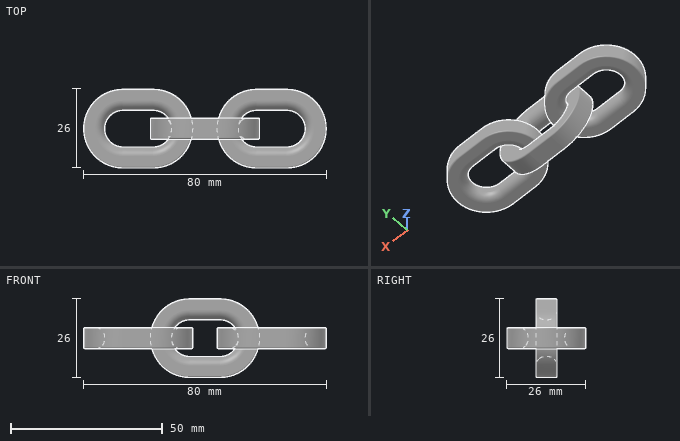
import math

import cadquery as cq

chain_length = 80.0
link_count = 3

link_length = 36.0
link_width = 26.0
slot_width = 12.0
bar_size = (link_width - slot_width) / 2
half_bar = bar_size / 2
straight_length = link_length - link_width
end_radius = (link_width - bar_size) / 2

outer_edge_radius = 0.5
inner_edge_radius = 3.0
inner_crown_radius = 4.5

link_pitch = (chain_length - link_length) / (link_count - 1)


def bar_section():
    """Bar cross-section at the start of the centreline; local +x faces the slot, local y is thickness."""
    crown_center = half_bar - inner_crown_radius
    center_gap = inner_crown_radius - inner_edge_radius
    edge_center_y = half_bar - inner_edge_radius
    crown_angle = math.asin(edge_center_y / center_gap)
    edge_center_x = crown_center + center_gap * math.cos(crown_angle)
    crown_end_x = crown_center + inner_crown_radius * math.cos(crown_angle)
    crown_end_y = inner_crown_radius * math.sin(crown_angle)

    edge_mid_angle = (crown_angle + math.pi / 2) / 2
    edge_mid_x = edge_center_x + inner_edge_radius * math.cos(edge_mid_angle)
    edge_mid_y = edge_center_y + inner_edge_radius * math.sin(edge_mid_angle)

    outer_flat = half_bar - outer_edge_radius
    start_plane = cq.Plane(origin=(0, -end_radius, 0), xDir=(0, 1, 0), normal=(1, 0, 0))
    return (
        cq.Workplane(start_plane)
        .moveTo(-outer_flat, -half_bar)
        .lineTo(edge_center_x, -half_bar)
        .threePointArc((edge_mid_x, -edge_mid_y), (crown_end_x, -crown_end_y))
        .threePointArc((half_bar, 0), (crown_end_x, crown_end_y))
        .threePointArc((edge_mid_x, edge_mid_y), (edge_center_x, half_bar))
        .lineTo(-outer_flat, half_bar)
        .radiusArc((-half_bar, outer_flat), -outer_edge_radius)
        .lineTo(-half_bar, -outer_flat)
        .radiusArc((-outer_flat, -half_bar), -outer_edge_radius)
        .close()
    )


def bar_centreline():
    """Closed oval path through the middle of the bar, starting halfway along one straight side."""
    half_straight = straight_length / 2
    return (
        cq.Workplane("XY")
        .moveTo(0, -end_radius)
        .lineTo(half_straight, -end_radius)
        .threePointArc((half_straight + end_radius, 0), (half_straight, end_radius))
        .lineTo(-half_straight, end_radius)
        .threePointArc((-half_straight - end_radius, 0), (-half_straight, -end_radius))
        .close()
    )


def make_link():
    """One link lying flat, centred on the origin with its long axis on X."""
    return bar_section().sweep(bar_centreline()).clean()


links = []
for index in range(link_count):
    quarter_turn = 90 * (index % 2)
    offset = (index - (link_count - 1) / 2) * link_pitch
    link = make_link().rotate((0, 0, 0), (1, 0, 0), quarter_turn).translate((offset, 0, 0))
    links.append(link.val())

result = cq.Compound.makeCompound(links)